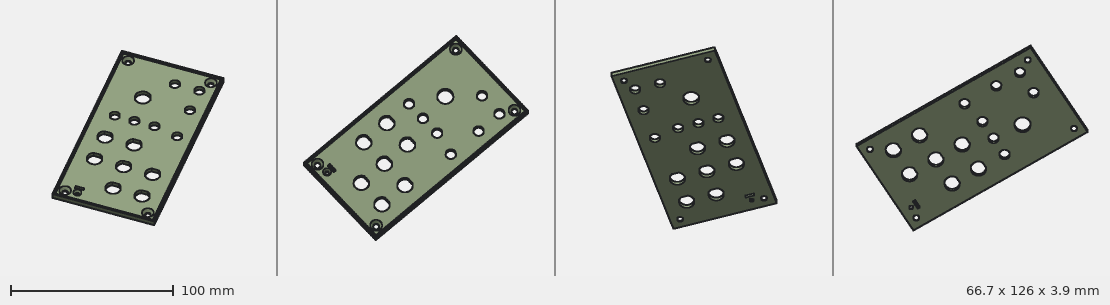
import cadquery as cq

width = 66.7
length = 126.0
height = 3.9

side_height = 3.5
floor_height = 3.0
ridge_inset = 0.9
floor_inset = 1.5

screw_spacing_x = 54.2
screw_spacing_y = 114.2
screw_diameter = 3.7
screw_head_diameter = 7.3
screw_head_depth = 2.0

small_hole_diameter = 6.4
large_hole_diameter = 10.0
large_hole_center = (-8.2, 31.5)
right_column_x = 22.5
left_column_x = -19.4
middle_column_x = -6.5
inner_column_x = 6.5
top_row_y = 48.6
middle_row_y = 11.6
small_hole_centers = [
    (inner_column_x, top_row_y),
    (right_column_x, top_row_y),
    (right_column_x, large_hole_center[1]),
    (right_column_x, 8.6),
    (left_column_x, middle_row_y),
    (middle_column_x, middle_row_y),
    (inner_column_x, middle_row_y),
]

d_hole_diameter = 9.6
d_hole_flat_offset = 4.3
d_hole_pitch = 19.0
d_hole_top_row_y = -7.0
d_hole_columns_by_row = [(-1, 0), (-1, 0, 1), (0, 1)]

indicator_center = (left_column_x, -56.1)
indicator_diameter = 2.4
indicator_head_diameter = 5.0
indicator_head_depth = 1.6
slot_length = 5.5
slot_width = 1.6
slot_center = (left_column_x, -52.2)


def tapered_block(bottom_inset, bottom_z, top_inset, top_z):
    """Loft between two rectangles inset from the panel outline."""
    return (
        cq.Workplane("XY")
        .workplane(offset=bottom_z)
        .rect(width - 2 * bottom_inset, length - 2 * bottom_inset)
        .workplane(offset=top_z - bottom_z)
        .rect(width - 2 * top_inset, length - 2 * top_inset)
        .loft(ruled=True)
    )


def round_cutter(center, diameter):
    """Cylinder through the full panel height."""
    return cq.Workplane("XY").center(*center).circle(diameter / 2).extrude(height)


def d_cutter(center):
    """Cylinder with one side cut flat towards +Y."""
    radius = d_hole_diameter / 2
    keep_height = radius + d_hole_flat_offset
    keep = (
        cq.Workplane("XY")
        .center(center[0], center[1] + d_hole_flat_offset - keep_height / 2)
        .rect(d_hole_diameter, keep_height)
        .extrude(height)
    )
    return round_cutter(center, d_hole_diameter).intersect(keep)


def countersunk_cutter(center, diameter, head_diameter, head_depth):
    """Through hole with a cone opening at the floor."""
    cone = (
        cq.Workplane("XY", origin=(center[0], center[1], floor_height - head_depth))
        .circle(diameter / 2)
        .workplane(offset=head_depth)
        .circle(head_diameter / 2)
        .loft()
    )
    return round_cutter(center, diameter).union(cone)


result = cq.Workplane("XY").rect(width, length).extrude(side_height)
result = result.union(tapered_block(0, side_height, ridge_inset, height))
result = result.cut(tapered_block(floor_inset, floor_height, ridge_inset, height))

for side_x in (-1, 1):
    for side_y in (-1, 1):
        screw_center = (side_x * screw_spacing_x / 2, side_y * screw_spacing_y / 2)
        result = result.cut(
            countersunk_cutter(screw_center, screw_diameter, screw_head_diameter, screw_head_depth)
        )

for hole_center in small_hole_centers:
    result = result.cut(round_cutter(hole_center, small_hole_diameter))
result = result.cut(round_cutter(large_hole_center, large_hole_diameter))

for row, columns in enumerate(d_hole_columns_by_row):
    for column in columns:
        d_center = (column * d_hole_pitch, d_hole_top_row_y - row * d_hole_pitch)
        result = result.cut(d_cutter(d_center))

result = result.cut(
    countersunk_cutter(indicator_center, indicator_diameter, indicator_head_diameter, indicator_head_depth)
)
slot = cq.Workplane("XY").center(*slot_center).rect(slot_length, slot_width).extrude(height)
result = result.cut(slot)